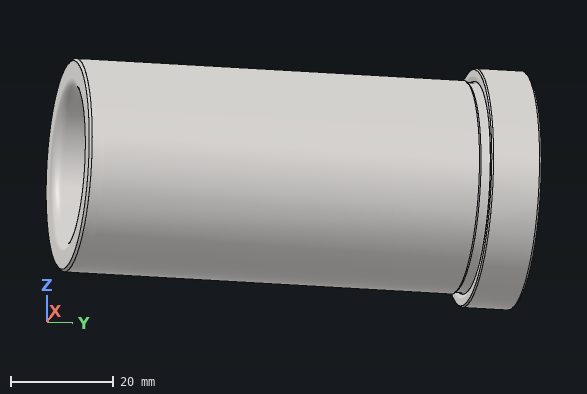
import cadquery as cq


TOTAL_LENGTH = 90.0
HEAD_LENGTH = 10.0
HEAD_RADIUS = 47.0 / 2
BODY_RADIUS = 42.0 / 2
BORE_RADIUS = 30.0 / 2

GROOVE_WIDTH = 2.0
GROOVE_DEPTH = 0.4
GROOVE_FILLET = 0.3

UNDERCUT_RADIUS = 21.8
UNDERCUT_DEPTH = 0.25

HEAD_FACE_CHAMFER = 0.5
HEAD_UNDERSIDE_CHAMFER = 0.3
BORE_FILLET = 2.0

LEAD_LENGTH = 3.0
LEAD_REDUCTION = 0.02
END_CHAMFER = 0.5

HEAD_FACE_Y = HEAD_LENGTH
BODY_END_Y = HEAD_LENGTH - TOTAL_LENGTH
GROOVE_RADIUS = BODY_RADIUS - GROOVE_DEPTH
LEAD_START_Y = BODY_END_Y + LEAD_LENGTH
LEAD_RADIUS = BODY_RADIUS - LEAD_REDUCTION


def make_sleeve():
    """Revolve the stepped half-section (radius along X) about the Y axis."""
    half_section = (
        cq.Workplane("XY")
        .moveTo(BORE_RADIUS, HEAD_FACE_Y)
        .lineTo(HEAD_RADIUS - HEAD_FACE_CHAMFER, HEAD_FACE_Y)
        .lineTo(HEAD_RADIUS, HEAD_FACE_Y - HEAD_FACE_CHAMFER)
        .lineTo(HEAD_RADIUS, HEAD_UNDERSIDE_CHAMFER)
        .lineTo(HEAD_RADIUS - HEAD_UNDERSIDE_CHAMFER, 0)
        .lineTo(UNDERCUT_RADIUS, 0)
        .lineTo(GROOVE_RADIUS + GROOVE_FILLET, UNDERCUT_DEPTH)
        .radiusArc((GROOVE_RADIUS, UNDERCUT_DEPTH - GROOVE_FILLET), -GROOVE_FILLET)
        .lineTo(GROOVE_RADIUS, GROOVE_DEPTH - GROOVE_WIDTH)
        .lineTo(BODY_RADIUS, -GROOVE_WIDTH)
        .lineTo(BODY_RADIUS, LEAD_START_Y)
        .lineTo(LEAD_RADIUS, BODY_END_Y + END_CHAMFER)
        .lineTo(LEAD_RADIUS - END_CHAMFER, BODY_END_Y)
        .lineTo(BORE_RADIUS, BODY_END_Y)
        .close()
    )
    return half_section.revolve(360, (0, 0), (0, 1))


def round_bore_mouth(sleeve):
    """Round the mouth of the bore at the free end of the body."""
    mouth = sleeve.faces("<Y").edges(cq.selectors.RadiusNthSelector(0))
    return mouth.fillet(BORE_FILLET)


result = round_bore_mouth(make_sleeve())